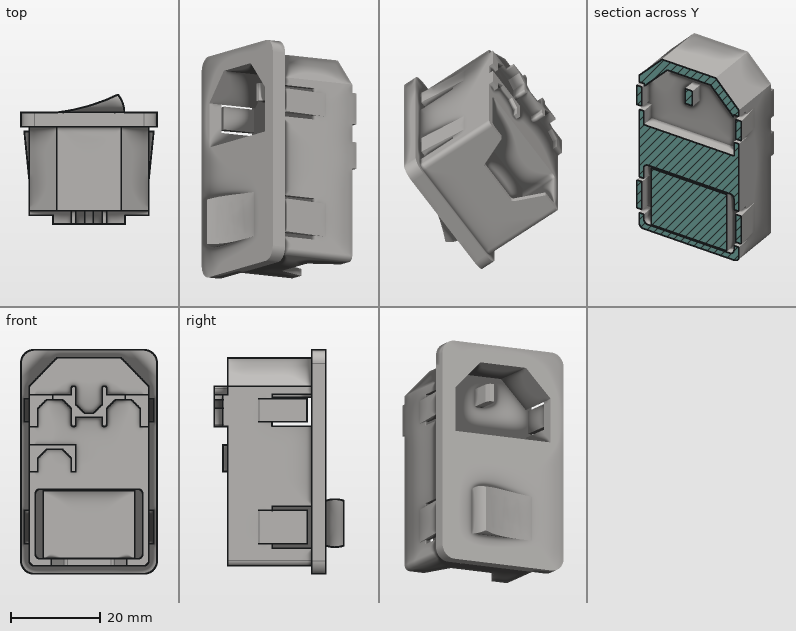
import cadquery as cq


flange_width = 30.6
flange_height = 50.3
flange_thickness = 3.2
flange_corner = 3.0

body_width = 26.85
body_height = 46.7
body_depth = 18.8
body_corner = 1.25
chamfer_width = 6.25
chamfer_height = 6.45
side_wall = 1.4
half_body = body_width / 2
cavity_half_width = half_body - side_wall

pocket_top = -6.15
pocket_bottom = -21.75
pocket_corner = 1.0
switch_width = 20.4
switch_top = -6.5
switch_bottom = -21.6
switch_setback = 7.55
notch_depth = 7.05
notch_mouth_half = 8.5
notch_floor_half = 5.45
notch_corner = 0.8

socket_top = 20.85
socket_bottom = 4.4
earth_pin_width = 2.0
earth_pin_height = 4.0
earth_pin_bottom = 13.7
earth_pin_tip = 2.2
earth_pin_taper = 1.15
earth_pin_tip_width = 1.0

upper_clip = (8.95, 14.2)
lower_clip = (-18.4, -10.9)
window_margin = 0.95
window_depth = 8.85
clip_start = 1.0
clip_end = 11.85
clip_reach = 1.1
clip_inset = 0.9

shield_low = 1.05
shield_high = 3.0
high_half_width = 8.1
upper_shield_top = 15.0
lower_shield_top = 3.8
lower_shield_height = 6.05
arch_outer = 11.45
arch_inner = 3.95
arch_bevel = 1.95
arch_roof = 1.05
rib_inner = 2.9
rib_top = 17.0
rib_bottom = 7.9
bridge_bottom = 10.0
valley_floor = 10.9
valley_half_width = 1.0
valley_bevel = 1.9

rocker_bottom = -19.15
rocker_top = -8.35
rocker_rise = 4.0
rocker_low_x = -7.3
rocker_tip_x = 6.5
rocker_base_x = 7.95
rocker_face_mid = (1.3, 1.9)
rocker_end_mid = (7.65, 1.9)
rocker_crown = 0.35


def prism(points, rear, front):
    """Extrude an X-Z outline between two Y positions."""
    return cq.Workplane("XZ", origin=(0, front, 0)).polyline(points).close().extrude(front - rear)


def block(x_range, y_range, z_range):
    """Axis-aligned box given by its limits."""
    sizes = [high - low for low, high in (x_range, y_range, z_range)]
    corner = (x_range[0], y_range[0], z_range[0])
    return cq.Workplane("XY").box(*sizes, centered=False).translate(corner)


def bevelled_outline(half_width, bottom, top):
    """Rectangle whose two upper corners are cut off as on the housing."""
    return [
        (-half_width, bottom),
        (half_width, bottom),
        (half_width, top - chamfer_height),
        (half_width - chamfer_width, top),
        (chamfer_width - half_width, top),
        (-half_width, top - chamfer_height),
    ]


def make_shell():
    flange = block(
        (-flange_width / 2, flange_width / 2),
        (0, flange_thickness),
        (-flange_height / 2, flange_height / 2),
    )
    flange = flange.edges("|Y").fillet(flange_corner)
    outline = bevelled_outline(half_body, -body_height / 2, body_height / 2)
    body = prism(outline, -body_depth, 0)
    body = body.edges("|Y and <Z").fillet(body_corner)
    return flange.union(body)


def make_switch_pocket():
    """Rear pocket, leaving the switch standing inside it."""
    pocket = block(
        (-cavity_half_width, cavity_half_width), (-body_depth, 0), (pocket_bottom, pocket_top)
    )
    pocket = pocket.edges("|Y").fillet(pocket_corner)
    switch = block(
        (-switch_width / 2, switch_width / 2),
        (switch_setback - body_depth, 0),
        (switch_bottom, switch_top),
    )
    return pocket.cut(switch)


def make_notch():
    """Tapered notch through the wall below the switch."""
    notch = (
        cq.Workplane("XY", origin=(0, 0, -body_height / 2))
        .moveTo(-notch_mouth_half, -body_depth)
        .lineTo(-notch_floor_half, notch_depth - body_depth)
        .lineTo(notch_floor_half, notch_depth - body_depth)
        .lineTo(notch_mouth_half, -body_depth)
        .close()
        .extrude(body_height / 2 + switch_bottom)
    )
    return notch.edges("|Z and >Y").fillet(notch_corner)


def make_socket():
    """Inlet cavity, leaving the tapered earth pin standing on its floor."""
    outline = bevelled_outline(cavity_half_width, socket_bottom, socket_top)
    cavity = prism(outline, -window_depth, flange_thickness)
    half_width = earth_pin_width / 2
    half_tip = earth_pin_tip_width / 2
    shoulder = -earth_pin_tip - earth_pin_taper
    earth_pin = (
        cq.Workplane("XY", origin=(0, 0, earth_pin_bottom))
        .moveTo(-half_width, -window_depth)
        .lineTo(-half_width, shoulder)
        .lineTo(-half_tip, -earth_pin_tip)
        .lineTo(half_tip, -earth_pin_tip)
        .lineTo(half_width, shoulder)
        .lineTo(half_width, -window_depth)
        .close()
        .extrude(earth_pin_height)
    )
    return cavity.cut(earth_pin)


def make_window(clip_range):
    """Opening through one side wall, on the -X side."""
    z_range = (clip_range[0] - window_margin, clip_range[1] + window_margin)
    return block((-half_body, -cavity_half_width), (-window_depth, 0), z_range)


def make_clip(clip_range):
    """Wedge-shaped latch rooted in the wall behind its window, on the -X side."""
    bottom, top = clip_range
    return (
        cq.Workplane("XY", origin=(0, 0, bottom))
        .moveTo(-half_body - clip_reach, -clip_start)
        .lineTo(-half_body, -clip_end)
        .lineTo(clip_inset - half_body, -clip_end)
        .lineTo(clip_inset - half_body, -clip_start)
        .close()
        .extrude(top - bottom)
    )


def make_arch(shield_top, bottom, height):
    """Bevelled terminal opening under a shield, on the -X side."""
    roof = shield_top - arch_roof
    outline = [
        (-arch_outer, bottom),
        (-arch_outer, roof - arch_bevel),
        (-arch_outer + arch_bevel, roof),
        (-arch_inner - arch_bevel, roof),
        (-arch_inner, roof - arch_bevel),
        (-arch_inner, bottom),
    ]
    return prism(outline, -body_depth - height, -body_depth)


def make_upper_shield():
    rear = -body_depth - shield_high
    low_rear = -body_depth - shield_low
    plate = block((-half_body, half_body), (rear, -body_depth), (rib_bottom, upper_shield_top))
    below_bridge = block(
        (-arch_inner, arch_inner), (rear, -body_depth), (rib_bottom, bridge_bottom)
    )
    valley = prism(
        [
            (-valley_half_width, valley_floor),
            (valley_half_width, valley_floor),
            (rib_inner, valley_floor + valley_bevel),
            (rib_inner, upper_shield_top),
            (-rib_inner, upper_shield_top),
            (-rib_inner, valley_floor + valley_bevel),
        ],
        rear,
        -body_depth,
    )
    plate = plate.cut(below_bridge).cut(valley)
    arch = make_arch(upper_shield_top, rib_bottom, shield_high)
    plate = plate.cut(arch).cut(arch.mirror("YZ"))
    outer_step = block(
        (-half_body, -high_half_width), (rear, low_rear), (rib_bottom, upper_shield_top)
    )
    plate = plate.cut(outer_step).cut(outer_step.mirror("YZ"))

    rib_width = arch_inner - rib_inner
    rib_x = (arch_inner + rib_inner) / 2
    rib_z = (rib_top + rib_bottom) / 2
    for side in (-1, 1):
        rib = (
            cq.Workplane("XZ", origin=(0, -body_depth, 0))
            .center(side * rib_x, rib_z)
            .slot2D(rib_top - rib_bottom, rib_width, 90)
            .extrude(shield_high)
        )
        plate = plate.union(rib)
    return plate


def make_lower_shield():
    bottom = lower_shield_top - lower_shield_height
    plate = block(
        (-half_body, -rib_inner),
        (-body_depth - shield_low, -body_depth),
        (bottom, lower_shield_top),
    )
    return plate.cut(make_arch(lower_shield_top, bottom, shield_low))


def make_rocker():
    """Tilted switch rocker, with its dished face and rounded raised end."""
    tip = flange_thickness + rocker_rise
    profile = (
        cq.Workplane("XY", origin=(0, flange_thickness, rocker_bottom))
        .moveTo(rocker_low_x, 0)
        .threePointArc(rocker_face_mid, (rocker_tip_x, rocker_rise))
        .threePointArc(rocker_end_mid, (rocker_base_x, 0))
        .close()
        .extrude(rocker_top - rocker_bottom)
    )
    half_rise = flange_thickness + rocker_rise / 2
    low_corner = rocker_bottom + rocker_crown
    high_corner = rocker_top - rocker_crown
    side_outline = (
        cq.Workplane("YZ", origin=(rocker_low_x, 0, 0))
        .moveTo(flange_thickness, low_corner)
        .threePointArc((half_rise, rocker_bottom), (tip, low_corner))
        .lineTo(tip, high_corner)
        .threePointArc((half_rise, rocker_top), (flange_thickness, high_corner))
        .close()
        .extrude(rocker_base_x - rocker_low_x)
    )
    return profile.intersect(side_outline)


result = make_shell().cut(make_switch_pocket()).cut(make_notch()).cut(make_socket())
for clip_range in (upper_clip, lower_clip):
    window = make_window(clip_range)
    clip = make_clip(clip_range)
    result = result.cut(window).cut(window.mirror("YZ"))
    result = result.union(clip).union(clip.mirror("YZ"))
result = result.union(make_upper_shield()).union(make_lower_shield()).union(make_rocker())